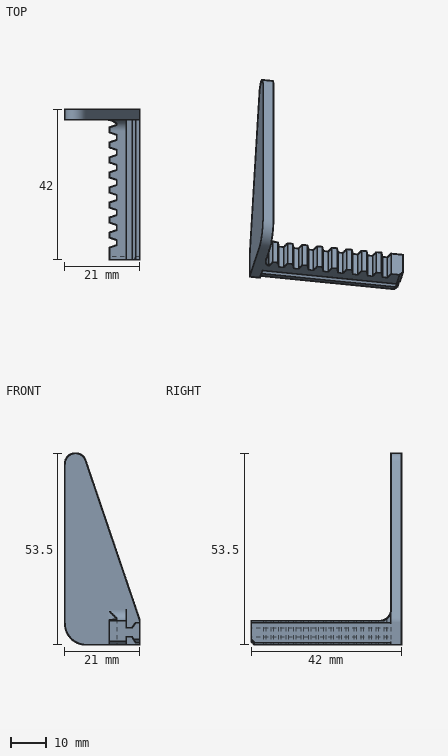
import cadquery as cq
import math

WIDTH = 21.0
HEIGHT = 53.55
PLATE_THICKNESS = 3.0
LOWER_LEFT_RADIUS = 6.0
TIP_RADIUS = 3.0
SIDE_RADIUS = 3.0
SIDE_ARC_CENTRE_Z = 6.35

BAR_LENGTH = 42.05 - PLATE_THICKNESS
RACK_HEIGHT = 6.8
END_CHAMFER = 1.0
FILLET_RADIUS = 3.0

TOOTH_TIP_X = WIDTH - 8.55
TOOTH_ROOT_X = WIDTH - 6.5
RACK_BACK_X = WIDTH - 3.8
FILLET_LEFT_X = WIDTH - 8.9
TOOTH_COUNT = 8
FIRST_TIP_OFFSET = 2.05
END_BLOCK_LENGTH = 3.45
TIP_LAND = 1.45
FLANK_RUN = 0.7
PITCH = (BAR_LENGTH - FIRST_TIP_OFFSET - END_BLOCK_LENGTH) / TOOTH_COUNT

WEB_BOTTOM_Z = 2.25
WEB_TOP_Z = 4.8
FLANGE_BOTTOM_Z = 0.65
FLANGE_TOP_Z = 6.15
SHOULDER_INNER_X = WIDTH - 2.2
SHOULDER_OUTER_X = WIDTH - 1.25


def make_plate():
    """Tapered plate with a round tip and rounded lower-left and right corners."""
    tip_x, tip_z = TIP_RADIUS, HEIGHT - TIP_RADIUS
    side_x, side_z = WIDTH - SIDE_RADIUS, SIDE_ARC_CENTRE_Z
    centre_distance = math.hypot(side_x - tip_x, tip_z - side_z)
    normal = math.atan2(side_x - tip_x, tip_z - side_z)
    normal += math.asin((TIP_RADIUS - SIDE_RADIUS) / centre_distance)

    def on_arc(x, z, radius, angle):
        return (x + radius * math.cos(angle), z + radius * math.sin(angle))

    outline = (
        cq.Workplane("XZ")
        .moveTo(LOWER_LEFT_RADIUS, 0)
        .lineTo(WIDTH, 0)
        .lineTo(WIDTH, side_z)
        .threePointArc(
            on_arc(side_x, side_z, SIDE_RADIUS, normal / 2),
            on_arc(side_x, side_z, SIDE_RADIUS, normal),
        )
        .lineTo(*on_arc(tip_x, tip_z, TIP_RADIUS, normal))
        .threePointArc((tip_x, HEIGHT), (0, tip_z))
        .lineTo(0, LOWER_LEFT_RADIUS)
        .radiusArc((LOWER_LEFT_RADIUS, 0), -LOWER_LEFT_RADIUS)
        .close()
    )
    return outline.extrude(-PLATE_THICKNESS)


def make_rack_plan():
    """Rack seen along Z: toothed bar plus the side fillet at the plate."""
    points = [(RACK_BACK_X, 0), (TOOTH_ROOT_X, 0)]
    for index in range(TOOTH_COUNT):
        tip_start = -FIRST_TIP_OFFSET - index * PITCH
        tip_end = tip_start - TIP_LAND
        points += [
            (TOOTH_ROOT_X, tip_start + FLANK_RUN),
            (TOOTH_TIP_X, tip_start),
            (TOOTH_TIP_X, tip_end),
            (TOOTH_ROOT_X, tip_end - FLANK_RUN),
        ]
    block_start = END_BLOCK_LENGTH - BAR_LENGTH
    points += [
        (TOOTH_ROOT_X, block_start + FLANK_RUN),
        (TOOTH_TIP_X, block_start),
        (TOOTH_TIP_X, -BAR_LENGTH),
        (RACK_BACK_X, -BAR_LENGTH),
    ]
    full_height = RACK_HEIGHT + FILLET_RADIUS
    teeth = cq.Workplane("XY").polyline(points).close().extrude(full_height)
    side_fillet = (
        cq.Workplane("XY")
        .moveTo(RACK_BACK_X, 0)
        .lineTo(FILLET_LEFT_X, 0)
        .radiusArc((FILLET_LEFT_X + FILLET_RADIUS, -FILLET_RADIUS), FILLET_RADIUS)
        .lineTo(RACK_BACK_X, -FILLET_RADIUS)
        .close()
        .extrude(full_height)
    )
    return teeth.union(side_fillet)


def make_rack():
    """Rack limited by its side profile: top fillet at the plate, chamfer at the free end."""
    side_profile = (
        cq.Workplane("YZ")
        .moveTo(0, 0)
        .lineTo(0, RACK_HEIGHT + FILLET_RADIUS)
        .radiusArc((-FILLET_RADIUS, RACK_HEIGHT), FILLET_RADIUS)
        .lineTo(-BAR_LENGTH, RACK_HEIGHT)
        .lineTo(-BAR_LENGTH, END_CHAMFER)
        .lineTo(END_CHAMFER - BAR_LENGTH, 0)
        .close()
        .extrude(WIDTH)
    )
    return make_rack_plan().intersect(side_profile)


def make_rail():
    """Guide rail along the right side of the rack, with its flange chamfered at the free end."""
    section = [
        (RACK_BACK_X, WEB_BOTTOM_Z),
        (SHOULDER_INNER_X, WEB_BOTTOM_Z),
        (SHOULDER_OUTER_X, FLANGE_BOTTOM_Z),
        (WIDTH, FLANGE_BOTTOM_Z),
        (WIDTH, FLANGE_TOP_Z),
        (SHOULDER_OUTER_X, FLANGE_TOP_Z),
        (SHOULDER_INNER_X, WEB_TOP_Z),
        (RACK_BACK_X, WEB_TOP_Z),
    ]
    rail = cq.Workplane("XZ").polyline(section).close().extrude(BAR_LENGTH)
    end_wedge = (
        cq.Workplane("YZ")
        .moveTo(-BAR_LENGTH, FLANGE_BOTTOM_Z)
        .lineTo(END_CHAMFER - BAR_LENGTH, FLANGE_BOTTOM_Z)
        .lineTo(-BAR_LENGTH, FLANGE_BOTTOM_Z + END_CHAMFER)
        .close()
        .extrude(WIDTH)
    )
    return rail.cut(end_wedge)


result = make_plate().union(make_rack()).union(make_rail())